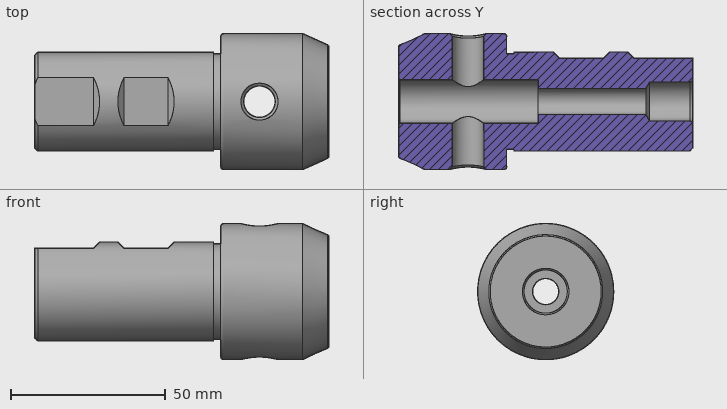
import cadquery as cq
import math

total_length = 95.0
neck_start = 57.8
head_start = 60.0
nose_start = 86.5

shank_diameter = 32.0
neck_diameter = 31.0
head_diameter = 44.0
nose_end_diameter = 36.8
shank_chamfer = 1.0
head_fillet = 1.0
nose_edge_chamfer = 0.5

flat_depth = 2.0
end_flat_length = 19.0
middle_flat_start = 28.9
middle_flat_end = 43.0

entry_diameter = 12.5
entry_rim_diameter = 13.2
entry_rim_depth = 0.95
entry_depth = 14.0
drill_tip_angle = 118
passage_diameter = 8.4
tool_bore_diameter = 14.0
tool_bore_rim_diameter = 15.0
tool_bore_depth = 45.0

screw_diameter = 10.1
screw_rim_diameter = 12.0
screw_position = 72.6

shank_radius = shank_diameter / 2
head_radius = head_diameter / 2
nose_end_radius = nose_end_diameter / 2


def revolve_about_x(points):
    """Revolve a closed (x, radius) outline about the X axis."""
    return cq.Workplane("XY").polyline(points).close().revolve(360, (0, 0, 0), (1, 0, 0))


def make_body():
    body = revolve_about_x([
        (0, 0),
        (0, shank_radius - shank_chamfer),
        (shank_chamfer, shank_radius),
        (neck_start, shank_radius),
        (neck_start, neck_diameter / 2),
        (head_start, neck_diameter / 2),
        (head_start, head_radius),
        (nose_start, head_radius),
        (total_length - nose_edge_chamfer, nose_end_radius),
        (total_length, nose_end_radius - nose_edge_chamfer),
        (total_length, 0),
    ])
    margin = head_fillet / 2
    around_head_back = cq.selectors.BoxSelector(
        (head_start - margin, -head_diameter, -head_diameter),
        (head_start + margin, head_diameter, head_diameter),
        boundingbox=True,
    )
    return body.edges(around_head_back).edges(cq.selectors.RadiusNthSelector(-1)).fillet(head_fillet)


def make_flat_cutter(outline):
    """Extrude an (x, z) outline across the full width of the shank."""
    return cq.Workplane("XZ").polyline(outline).close().extrude(shank_radius, both=True)


def cut_flats(body):
    """Cut both flats, with 45-degree ramps where they rise to the shank surface."""
    top = shank_radius
    floor = top - flat_depth
    end_flat = make_flat_cutter([
        (0, floor),
        (end_flat_length, floor),
        (end_flat_length + flat_depth, top),
        (0, top),
    ])
    middle_flat = make_flat_cutter([
        (middle_flat_start, floor),
        (middle_flat_end, floor),
        (middle_flat_end + flat_depth, top),
        (middle_flat_start - flat_depth, top),
    ])
    return body.cut(end_flat).cut(middle_flat)


def make_axial_hole():
    """Stepped hole along X with a chamfered rim at each end and a drill-tip cone below the entry."""
    entry_radius = entry_diameter / 2
    entry_rim_radius = entry_rim_diameter / 2
    passage_radius = passage_diameter / 2
    cone_depth = (entry_radius - passage_radius) / math.tan(math.radians(drill_tip_angle / 2))
    bore_radius = tool_bore_diameter / 2
    bore_rim_radius = tool_bore_rim_diameter / 2
    bore_start = total_length - tool_bore_depth
    return revolve_about_x([
        (0, 0),
        (0, entry_rim_radius),
        (entry_rim_depth, entry_radius),
        (entry_depth, entry_radius),
        (entry_depth + cone_depth, passage_radius),
        (bore_start, passage_radius),
        (bore_start, bore_radius),
        (total_length - bore_rim_radius + bore_radius, bore_radius),
        (total_length, bore_rim_radius),
        (total_length, 0),
    ])


def cut_screw_hole(body):
    """Cut the hole through the head along Z and chamfer both of its curved outer rims."""
    hole = (
        cq.Workplane("XY")
        .center(screw_position, 0)
        .circle(screw_diameter / 2)
        .extrude(head_radius, both=True)
    )
    rim_width = (screw_rim_diameter - screw_diameter) / 2
    drilled = body.cut(hole)
    for side in (1, -1):
        rim = cq.selectors.BoxSelector(
            (screw_position - screw_diameter, -screw_diameter, side * tool_bore_diameter),
            (screw_position + screw_diameter, screw_diameter, side * head_diameter),
            boundingbox=True,
        )
        drilled = drilled.edges(rim).chamfer(rim_width)
    return drilled


result = cut_screw_hole(cut_flats(make_body())).cut(make_axial_hole())